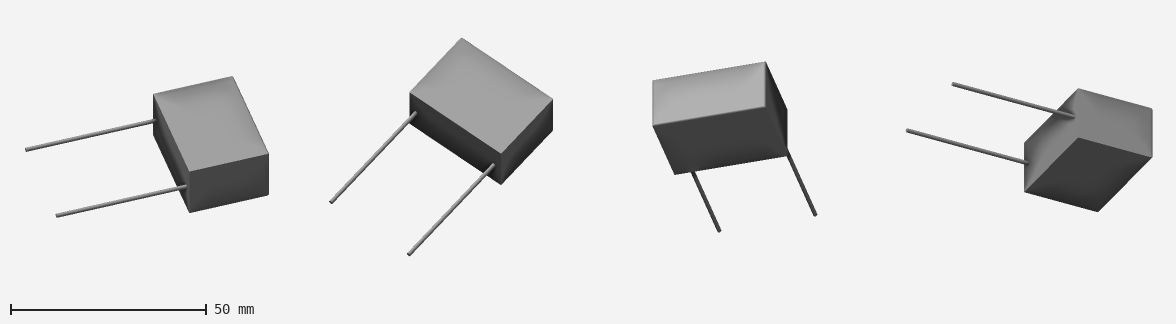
import cadquery as cq

total_length = 56.5
housing_width = 30.0
housing_height = 14.8
housing_depth = 21.5
back_edge_round = 0.5

lead_diameter = 1.1
lead_spacing = 25.4
lead_length = total_length - housing_depth


def make_housing():
    """Block with its front face on Y = 0 and a rounded rim on its back face."""
    block = cq.Workplane("XY").box(
        housing_width, housing_depth, housing_height, centered=(True, False, True)
    )
    return block.faces(">Y").edges().fillet(back_edge_round)


def make_lead(x):
    """Straight round wire running from the front face of the housing toward -Y."""
    return (
        cq.Workplane("XZ")
        .center(x, 0)
        .circle(lead_diameter / 2)
        .extrude(lead_length)
    )


housing = make_housing()

leads = []
for side in (-1, 1):
    leads.append(make_lead(side * lead_spacing / 2))

result = cq.Compound.makeCompound([housing.val(), *[lead.val() for lead in leads]])